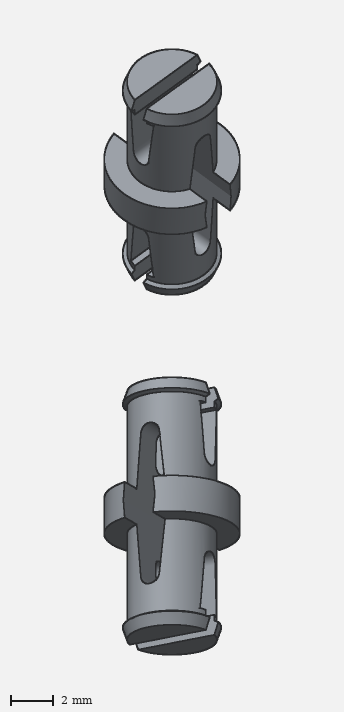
import cadquery as cq
import math

length = 12.28
shaft_diameter = 4.2
flange_diameter = 6.35
flange_thickness = 1.77

lip_diameter = 4.62
lip_tip_depth = 0.6
lip_under_depth = 0.71

end_slot_width = 0.79
end_slot_depth = 1.0
window_end_radius = 0.5
window_taper = math.radians(5.7)
end_window_depth = 3.99
center_window_half_length = 3.99

half_length = length / 2
cut_span = 2 * flange_diameter


def window_half_width(distance):
    """Half width of a tapered window at a distance from its end-arc centre."""
    return window_end_radius / math.cos(window_taper) + distance * math.tan(window_taper)


tangent_x = window_end_radius * math.cos(window_taper)
tangent_rise = window_end_radius * math.sin(window_taper)


def make_body():
    """Revolved shaft with a central flange and a snap lip at each end."""
    shaft_radius = shaft_diameter / 2
    flange = cq.Workplane("XY").circle(flange_diameter / 2).extrude(flange_thickness / 2, both=True)
    profile = (
        cq.Workplane("XZ")
        .moveTo(0, 0)
        .lineTo(shaft_radius, 0)
        .lineTo(shaft_radius, half_length - lip_under_depth)
        .lineTo(lip_diameter / 2, half_length - lip_tip_depth)
        .lineTo(shaft_radius, half_length)
        .lineTo(0, half_length)
        .close()
    )
    half_shaft = profile.revolve(360, (0, 0, 0), (0, 1, 0))
    return flange.union(half_shaft).union(half_shaft.mirror("XY"))


def make_end_slot():
    """Top cut along Y: a narrow slot opening into a wider tapered window."""
    slot_floor = half_length - end_slot_depth
    window_end = half_length - end_window_depth
    arc_center = window_end + window_end_radius
    wide = window_half_width(slot_floor - arc_center)
    tangent_z = arc_center - tangent_rise
    narrow = end_slot_width / 2
    return (
        cq.Workplane("XZ")
        .moveTo(-narrow, half_length)
        .lineTo(-narrow, slot_floor)
        .lineTo(-wide, slot_floor)
        .lineTo(-tangent_x, tangent_z)
        .threePointArc((0, window_end), (tangent_x, tangent_z))
        .lineTo(wide, slot_floor)
        .lineTo(narrow, slot_floor)
        .lineTo(narrow, half_length)
        .close()
        .extrude(cut_span / 2, both=True)
    )


def make_center_window():
    """Cut along X: a long window, widest at the mid-plane and rounded at both ends."""
    arc_center = center_window_half_length - window_end_radius
    wide = window_half_width(arc_center)
    tangent_z = arc_center + tangent_rise
    return (
        cq.Workplane("YZ")
        .moveTo(-wide, 0)
        .lineTo(-tangent_x, tangent_z)
        .threePointArc((0, center_window_half_length), (tangent_x, tangent_z))
        .lineTo(wide, 0)
        .lineTo(tangent_x, -tangent_z)
        .threePointArc((0, -center_window_half_length), (-tangent_x, -tangent_z))
        .close()
        .extrude(cut_span / 2, both=True)
    )


end_slot = make_end_slot()
result = make_body().cut(end_slot).cut(end_slot.mirror("XY")).cut(make_center_window())